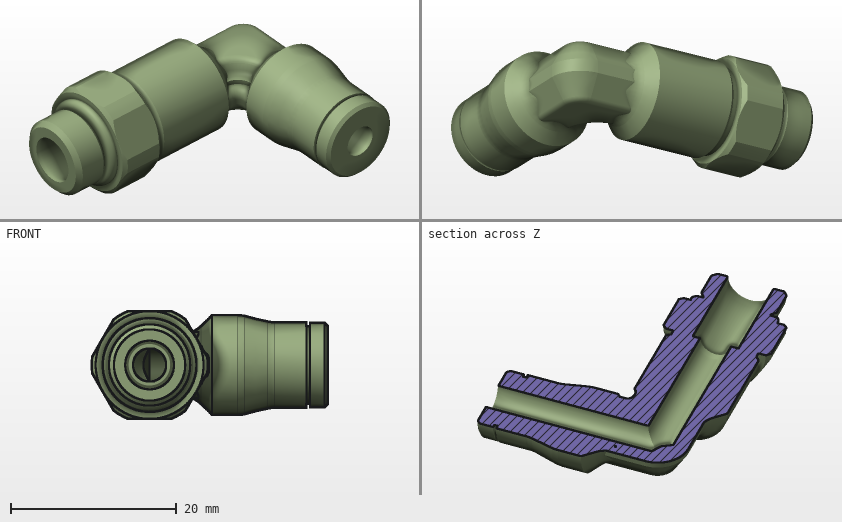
import math

import cadquery as cq


collar_radius = 6.05
collar_start = 7.55
cone_start = 6.2
flare_radius = 3.85
cone_angle = math.radians(45)
cone_small_radius = collar_radius - (collar_start - cone_start) * math.tan(cone_angle)
flare_arc = (cone_small_radius - flare_radius) / (1 - math.cos(cone_angle))
flare_start = cone_start - flare_arc * math.sin(cone_angle)

collar_end = 18.3
collar_chamfer = 0.45
neck_radius = 5.55
hex_start = 18.95
hex_end = 24.9
hex_flats = 13.0
hex_turn = 30
hex_corner_radius = 7.0
hex_chamfer = 0.5
hex_lower_chamfer_length = 0.4
seal_round = 0.75
seal_ring_radius = 4.92
seal_centre = 25.1
seal_end = seal_centre + seal_round
thread_radius = 4.9
thread_root_radius = 4.3
thread_start = 26.53
stem_end = 30.45
thread_chamfer = 0.6

taper_start = 11.0
taper_end = 14.62
taper_blend = 0.43
sleeve_radius = 5.17
sleeve_end = 18.9
groove_radius = 4.7
groove_end = 19.3
ring_radius = 5.1
ring_chamfer = 0.4
arm_end = 21.49

elbow_half_height = 4.0
nose_reach = 4.0
nose_half_width = 0.8
side_slope = math.radians(60)
elbow_round = 1.0
bend_radius = 6.5
inner_shoulder = 2.25
web_half_height = 2.23
web_blend = 1.0
rim_start = 4.27
rim_reach = 5.65
rim_half_height = 1.6
rim_round = 1.2
rim_run = 0.9
side_run = (elbow_half_height - nose_half_width) / math.tan(side_slope)
outer_shoulder = nose_reach - side_run
web_start = inner_shoulder + (elbow_half_height - web_half_height) / math.tan(side_slope)

edge_margin = 0.01

bore_radius = 2.0
drill_half_angle = math.radians(59)
drill_tip = bore_radius / math.tan(drill_half_angle)
socket_radius = 2.94
socket_floor = hex_start


def along_arm(profile):
    """Turn a closed profile about the arm axis."""
    return profile.revolve(360, (0, 0, 0), (1, 0, 0))


def along_stem(profile):
    """Turn a closed profile about the stem axis."""
    return along_arm(profile).rotate((0, 0, 0), (0, 0, 1), -90)


def start_collar():
    """Open profile from the axis over the flare and the cone to the collar."""
    return (
        cq.Workplane("XY")
        .moveTo(flare_start, 0)
        .lineTo(flare_start, flare_radius)
        .threePointArc(
            (
                flare_start + flare_arc * math.sin(cone_angle / 2),
                flare_radius + flare_arc * (1 - math.cos(cone_angle / 2)),
            ),
            (cone_start, cone_small_radius),
        )
        .lineTo(collar_start, collar_radius)
    )


def make_stem():
    """Stem from its flare to the threaded end, without the hexagon."""
    seal_rise = math.sqrt(seal_round**2 - (seal_centre - hex_end) ** 2)
    profile = (
        start_collar()
        .lineTo(collar_end - collar_chamfer, collar_radius)
        .lineTo(collar_end, collar_radius - collar_chamfer)
        .lineTo(collar_end, neck_radius)
        .lineTo(hex_end, neck_radius)
        .lineTo(hex_end, seal_ring_radius + seal_rise)
        .threePointArc(
            (seal_centre, seal_ring_radius + seal_round),
            (seal_end, seal_ring_radius),
        )
        .lineTo(seal_end, thread_root_radius)
        .lineTo(thread_start, thread_radius)
        .lineTo(stem_end - thread_chamfer, thread_radius)
        .lineTo(stem_end, thread_radius - thread_chamfer)
        .lineTo(stem_end, 0)
        .close()
    )
    return along_stem(profile)


def make_hexagon():
    """Hexagon with two flats square to Z and its corners turned and chamfered."""
    hexagon = (
        cq.Workplane("XZ", origin=(0, -hex_start, 0))
        .polygon(6, hex_flats, circumscribed=True)
        .extrude(hex_end - hex_start)
        .rotate((0, 0, 0), (0, 1, 0), hex_turn)
    )
    turned = along_stem(
        cq.Workplane("XY")
        .moveTo(hex_start, 0)
        .lineTo(hex_start, hex_corner_radius - hex_chamfer)
        .lineTo(hex_start + hex_chamfer, hex_corner_radius)
        .lineTo(hex_end - hex_lower_chamfer_length, hex_corner_radius)
        .lineTo(hex_end, hex_corner_radius - hex_chamfer)
        .lineTo(hex_end, 0)
        .close()
    )
    return hexagon.intersect(turned)


def make_arm():
    """Arm from its flare to the release ring, with a blended taper between."""
    slope = math.atan2(collar_radius - sleeve_radius, taper_end - taper_start)
    blend_run = taper_blend * math.cos(slope)
    blend_drop = taper_blend * math.sin(slope)
    profile = (
        start_collar()
        .lineTo(taper_start - taper_blend, collar_radius)
        .tangentArcPoint((taper_start + blend_run, collar_radius - blend_drop), relative=False)
        .lineTo(taper_end - blend_run, sleeve_radius + blend_drop)
        .tangentArcPoint((taper_end + taper_blend, sleeve_radius), relative=False)
        .lineTo(sleeve_end, sleeve_radius)
        .lineTo(sleeve_end, groove_radius)
        .lineTo(groove_end, groove_radius)
        .lineTo(groove_end, ring_radius)
        .lineTo(arm_end - ring_chamfer, ring_radius)
        .lineTo(arm_end, ring_radius - ring_chamfer)
        .lineTo(arm_end, 0)
        .close()
    )
    return along_arm(profile)


def outer_section():
    """Outer half of the elbow section, across the stem leg."""
    return (
        cq.Workplane("XZ")
        .polyline(
            [
                (0, -elbow_half_height),
                (-outer_shoulder, -elbow_half_height),
                (-nose_reach, -nose_half_width),
                (-nose_reach, nose_half_width),
                (-outer_shoulder, elbow_half_height),
                (0, elbow_half_height),
            ]
        )
        .close()
    )


def make_outer_elbow():
    """Outside of the bend: two straight legs joined by a quarter turn about Z."""
    stem_leg = outer_section().extrude(bend_radius)
    arm_leg = stem_leg.mirror("YZ").rotate((0, 0, 0), (0, 0, 1), 90)
    corner = outer_section().revolve(90, (0, 0), (0, -1))
    outer = stem_leg.union(corner).union(arm_leg)

    def is_shoulder(edge):
        middle = edge.Center()
        on_flat = abs(abs(middle.z) - elbow_half_height) < edge_margin
        runs_along_leg = -bend_radius < middle.y - edge_margin and middle.x + edge_margin < bend_radius
        on_outside = middle.y > edge_margin or middle.x < -edge_margin
        return on_flat and runs_along_leg and on_outside

    shoulder_edges = outer.edges().filter(is_shoulder)
    return outer.newObject(shoulder_edges.vals()).fillet(elbow_round)


def make_inner_bend():
    """Inside of the bend: sloping sides running down to a web with a lower rounded rim, turned about Z."""
    section = (
        cq.Workplane("XZ", origin=(0, -bend_radius, 0))
        .polyline(
            [
                (0, elbow_half_height),
                (inner_shoulder, elbow_half_height),
                (web_start, web_half_height),
                (rim_start, web_half_height),
                (rim_start, rim_half_height),
                (rim_reach, rim_half_height),
                (rim_reach, -rim_half_height),
                (rim_start, -rim_half_height),
                (rim_start, -web_half_height),
                (web_start, -web_half_height),
                (inner_shoulder, -elbow_half_height),
                (0, -elbow_half_height),
            ]
        )
        .close()
    )
    bend = section.revolve(90, (bend_radius, 0), (bend_radius, -1))
    for reach, size in ((inner_shoulder, elbow_round), (web_start, web_blend), (rim_reach, rim_round)):
        turned_edges = bend.edges("%CIRCLE").filter(
            lambda edge: abs(edge.radius() - (bend_radius - reach)) < edge_margin
        )
        bend = bend.newObject(turned_edges.vals()).fillet(size)

    stem_run = cq.Solid.extrudeLinear(bend.faces("<Y").val(), cq.Vector(0, -rim_run, 0))
    arm_run = cq.Solid.extrudeLinear(bend.faces(">X").val(), cq.Vector(rim_run, 0, 0))

    corner_depth = bend_radius * (1 - math.sqrt(0.5))
    corner = (
        cq.Workplane("XY", origin=(0, 0, -elbow_half_height))
        .lineTo(0, -bend_radius)
        .threePointArc((corner_depth, -corner_depth), (bend_radius, 0))
        .close()
        .extrude(2 * elbow_half_height)
    )
    return bend.union(corner).union(stem_run).union(arm_run)


def make_stem_passage():
    """Blind passage with a drill tip past the arm axis and a wider socket at the thread."""
    profile = (
        cq.Workplane("XY")
        .moveTo(-drill_tip, 0)
        .lineTo(0, bore_radius)
        .lineTo(socket_floor, bore_radius)
        .lineTo(socket_floor, socket_radius)
        .lineTo(stem_end, socket_radius)
        .lineTo(stem_end, 0)
        .close()
    )
    return along_stem(profile)


def make_arm_passage():
    """Passage from the arm's open end with a drill tip past the stem axis."""
    profile = (
        cq.Workplane("XY")
        .moveTo(-drill_tip, 0)
        .lineTo(0, bore_radius)
        .lineTo(arm_end, bore_radius)
        .lineTo(arm_end, 0)
        .close()
    )
    return along_arm(profile)


elbow = make_outer_elbow().union(make_inner_bend())
body = elbow.union(make_stem()).union(make_hexagon()).union(make_arm())
result = body.cut(make_stem_passage()).cut(make_arm_passage())